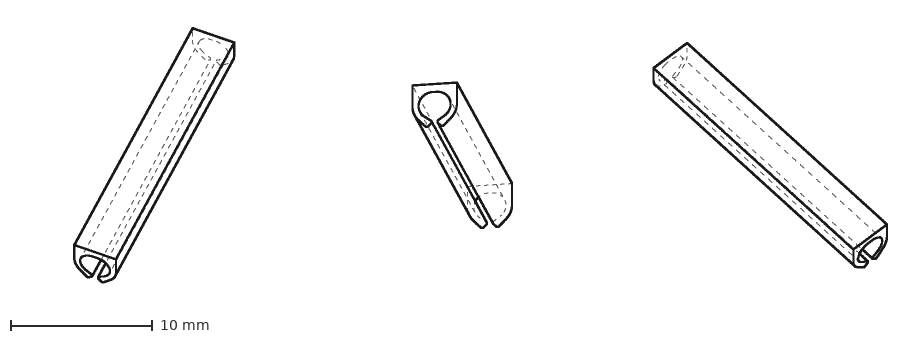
import cadquery as cq
import math

width = 3.2
height = 3.2
length = 21.0
half_width = width / 2
half_height = height / 2

bore_radius = 1.0
arc_offset = 0.15

outer_radius = half_width - arc_offset

outer_flank_angle = math.radians(46)
inner_flank_angle = math.radians(35)
tip_radius = 0.15


def arc_point(radius, turn):
    """Point on a right-hand arc, turned down from its outermost point."""
    x = arc_offset + radius * math.cos(turn)
    z = -radius * math.sin(turn)
    return x, z


def flank_direction(angle):
    """Direction of a right-hand jaw flank, running down and inward."""
    return -math.cos(angle), -math.sin(angle)


def line_crossing(start_a, direction_a, start_b, direction_b):
    """Point where two lines, each given by a point and a direction, cross."""
    gap_x = start_b[0] - start_a[0]
    gap_z = start_b[1] - start_a[1]
    determinant = direction_a[0] * direction_b[1] - direction_a[1] * direction_b[0]
    travel = (gap_x * direction_b[1] - gap_z * direction_b[0]) / determinant
    return start_a[0] + travel * direction_a[0], start_a[1] + travel * direction_a[1]


outer_turn = math.pi / 2 - outer_flank_angle
inner_turn = math.pi / 2 - inner_flank_angle
outer_tangent = arc_point(outer_radius, outer_turn)
inner_tangent = arc_point(bore_radius, inner_turn)

outer_direction = flank_direction(outer_flank_angle)
inner_direction = flank_direction(inner_flank_angle)
end_direction = (outer_direction[1], -outer_direction[0])

corner_drop = tip_radius * (math.cos(outer_flank_angle) + math.sin(outer_flank_angle) - 1)
outer_tip = line_crossing(outer_tangent, outer_direction, (0, -half_height - corner_drop), (1, 0))
inner_tip = line_crossing(inner_tangent, inner_direction, outer_tip, end_direction)


def make_right_half():
    """Right half of the strip, with sharp tip corners."""
    profile = (
        cq.Workplane("XZ")
        .moveTo(0, half_height)
        .lineTo(half_width, half_height)
        .lineTo(half_width, 0)
        .threePointArc(arc_point(outer_radius, outer_turn / 2), outer_tangent)
        .lineTo(*outer_tip)
        .lineTo(*inner_tip)
        .lineTo(*inner_tangent)
        .threePointArc(arc_point(bore_radius, 0), (arc_offset, bore_radius))
        .lineTo(0, bore_radius)
        .close()
    )
    return profile.extrude(length / 2, both=True)


def round_tip_corner(body, corner):
    """Round the long edge that runs through a tip corner."""
    nearest = cq.selectors.NearestToPointSelector((corner[0], 0, corner[1]))
    return body.edges("|Y").edges(nearest).fillet(tip_radius)


right_half = make_right_half()
for tip_corner in (outer_tip, inner_tip):
    right_half = round_tip_corner(right_half, tip_corner)

result = right_half.union(right_half.mirror("YZ")).clean()